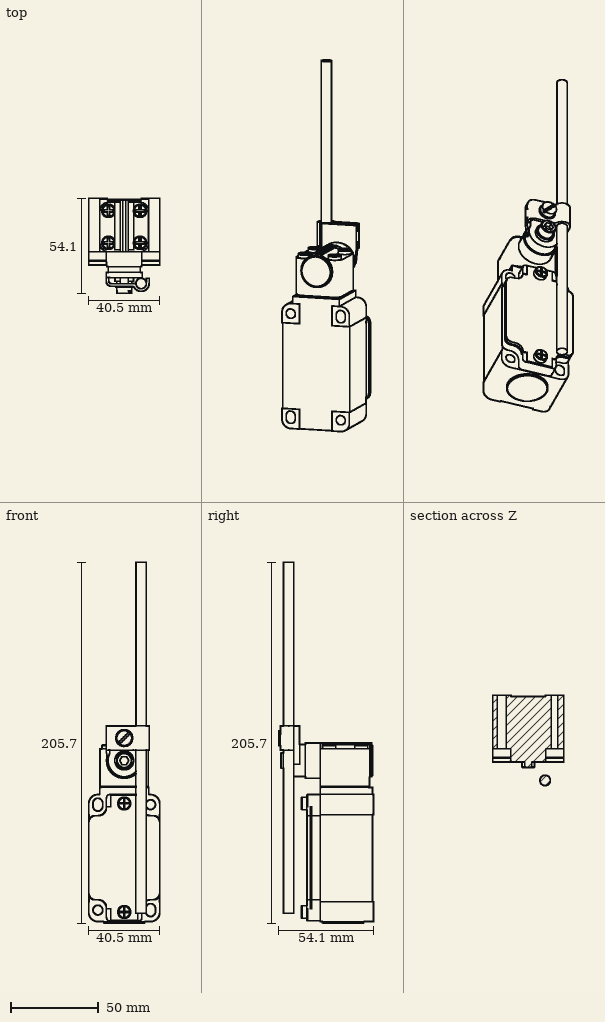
import cadquery as cq
import math


BODY_WIDTH = 40.5
BODY_HEIGHT = 72.4
BODY_FRONT = -30.5
BODY_CORNER_RADIUS = 5.25
PAD_THICKNESS = 0.7
PAD_SIZE = 10.5
PAD_HEIGHT = 11.4
SIDE_RECESS = 0.15

HOLE_SPACING_X = 30.0
HOLE_SPACING_Z = 60.0
HOLE_DIAMETER = 5.4
SLOT_LENGTH = 7.2
SLOT_ANGLE = 90.0
HOLE_MID_Z = 36.6

CONDUIT_RADIUS = 11.8
CONDUIT_HEIGHT = 1.0
CONDUIT_Y = -17.4
CONDUIT_CHAMFER = 0.5

COVER_FRONT = -38.1
COVER_BOTTOM = 0.4
COVER_TAB_HALF_WIDTH = 10.1
COVER_TAB_RADIUS = 2.0
COVER_NOTCH_HEIGHT = 12.0
COVER_NOTCH_RADIUS = 5.0
COVER_EAR_RADIUS = 3.6
COVER_STEP_WIDTH = 2.4
COVER_STEP_HEIGHT = 6.9
COVER_STEP_DEPTH = 0.6
COVER_EDGE_CHAMFER = 0.5
SEAM_Y = -35.7
SEAM_WIDTH = 0.6
SEAM_DEPTH = 0.3
COVER_SCREW_DIAMETER = 7.3
COVER_SCREW_HEIGHT = 3.1
COVER_SCREW_INSET = 5.1

PLATFORM_HALF_WIDTH = 14.0
PLATFORM_TOP = 76.4
HEAD_HALF_WIDTH = 13.8
HEAD_BACK = -2.4
HEAD_TOP = 98.4
HEAD_CORNER_RADIUS = 4.8
NECK_HEIGHT = 0.6
NECK_INSET = 0.5
AXIS_Z = 91.7
BOSS_RADIUS = 10.1
BOSS_FRONT = -38.9
RIDGE_HALF_WIDTH = 5.3
RIDGE_END_GAP = 1.2
RIDGE_TOP = 101.2
RIDGE_ROOT_DEPTH = 2.0
RIB_HALF_WIDTH = 2.2
RIB_TOP = AXIS_Z + BOSS_RADIUS
RIB_GROOVE_WIDTH = 1.6
RIB_GROOVE_DEPTH = 0.6
REAR_CAP_RADIUS = 9.3
REAR_CAP_BACK = -0.6
REAR_CAP_CHAMFER = 0.8
HEAD_SCREW_X = 9.0
HEAD_SCREW_YS = (-7.2, -25.4)
HEAD_SCREW_DIAMETER = 7.5
HEAD_SCREW_HEIGHT = 2.2

CROSS_LENGTH_RATIO = 0.7
COVER_CROSS_WIDTH = 0.6
HEAD_CROSS_WIDTH = 1.5
CROSS_DEPTH = 1.5
CROSS_TAPER = 8.0
SCREW_CHAMFER = 0.4

HUB_RADIUS = 9.2
LEVER_HALF_WIDTH = 10.3
LEVER_BACK = -42.2
LEVER_FRONT = -45.4
LEVER_BOTTOM = 89.6
LEVER_TOP = 111.5
LEVER_TAPER_TOP = 98.0
LEVER_TAPER = 0.9
BRIDGE_BOTTOM = 101.5
BRIDGE_TOP = 107.8
RELIEF_WIDTH = 2.0
RELIEF_DEPTH = 0.4
STRAP_BOTTOM = 97.7
STRAP_FRONT = -50.2
STRAP_THICKNESS = 1.6
STRAP_BEND_RADIUS = 3.0
LOOP_BLEND_RADIUS = 2.0
ROD_DIAMETER = 6.0
ROD_X = 9.65
ROD_Y = -48.5
ROD_BOTTOM = 4.7
ROD_LENGTH = 200.0
LOOP_RADIUS = ROD_DIAMETER / 2 + STRAP_THICKNESS

CLAMP_Z = 104.5
CLAMP_HEAD_DIAMETER = 8.5
CLAMP_COLLAR_DIAMETER = 9.6
CLAMP_COLLAR_THICKNESS = 0.6
CLAMP_SHANK_DIAMETER = 4.8
CLAMP_FRONT = -54.1
CLAMP_SLOT_ANGLE = 45.0
CLAMP_SLOT_WIDTH = 1.2
CLAMP_SLOT_DEPTH = 1.3
WASHER_DIAMETER = 10.7
WASHER_THICKNESS = 2.0
SOCKET_HEAD_DIAMETER = 8.8
SOCKET_FRONT = -53.0
SOCKET_HEX_ACROSS_CORNERS = 5.2
SOCKET_DEPTH = 3.0
HEX_SIDES = 6


def box(x0, x1, y0, y1, z0, z1):
    """Axis-aligned box between opposite corners."""
    size = (abs(x1 - x0), abs(y1 - y0), abs(z1 - z0))
    corner = (min(x0, x1), min(y0, y1), min(z0, z1))
    return cq.Workplane("XY").box(*size, centered=False).translate(corner)


def y_plane(x, y, z):
    """Sketch plane facing the front (-Y), with local axes along X and Z."""
    return cq.Workplane("XZ", origin=(x, y, z))


def y_cylinder(radius, y_back, y_front, x=0.0, z=AXIS_Z):
    """Cylinder along Y."""
    return y_plane(x, y_back, z).circle(radius).extrude(y_back - y_front)


def cross_screw(plane, diameter, height, slot_width):
    """Chamfered screw head with a cross recess, standing on the given plane."""
    outer_face = cq.selectors.DirectionMinMaxSelector(plane.plane.zDir, True)
    head = plane.circle(diameter / 2).extrude(height).faces(outer_face).chamfer(SCREW_CHAMFER)
    arm = diameter * CROSS_LENGTH_RATIO
    recess_plane = plane.workplane(offset=height)
    for length, width in ((arm, slot_width), (slot_width, arm)):
        head = head.cut(recess_plane.rect(length, width).extrude(-CROSS_DEPTH, taper=CROSS_TAPER))
    return head


def make_body():
    body = y_plane(0, 0, BODY_HEIGHT / 2).rect(BODY_WIDTH, BODY_HEIGHT).extrude(-BODY_FRONT)
    body = body.edges("|Y").fillet(BODY_CORNER_RADIUS)
    pad_gap = BODY_WIDTH / 2 - PAD_SIZE
    half_width = BODY_WIDTH / 2
    body = body.cut(box(-pad_gap, pad_gap, -PAD_THICKNESS, 0, 0, BODY_HEIGHT))
    body = body.cut(box(-half_width, half_width, -PAD_THICKNESS, 0, PAD_HEIGHT, BODY_HEIGHT - PAD_HEIGHT))
    for side in (-1, 1):
        recess_floor = half_width - SIDE_RECESS
        body = body.cut(box(
            side * recess_floor, side * half_width, BODY_FRONT, 0, PAD_HEIGHT, BODY_HEIGHT - PAD_HEIGHT
        ))
    conduit = cq.Workplane("XY", origin=(0, CONDUIT_Y, 0)).circle(CONDUIT_RADIUS).extrude(-CONDUIT_HEIGHT)
    return body.union(conduit.faces("<Z").chamfer(CONDUIT_CHAMFER))


def cut_mounting_holes(solid):
    for side_x in (-1, 1):
        for side_z in (-1, 1):
            sketch = y_plane(side_x * HOLE_SPACING_X / 2, 0, HOLE_MID_Z + side_z * HOLE_SPACING_Z / 2)
            if side_x == side_z:
                sketch = sketch.circle(HOLE_DIAMETER / 2)
            else:
                sketch = sketch.slot2D(SLOT_LENGTH, HOLE_DIAMETER, SLOT_ANGLE)
            solid = solid.cut(sketch.extrude(-BODY_FRONT))
    return solid


def cover_corner_cut(side_x, side_z, inset):
    """Volume removed from one cover corner to clear a mounting hole, grown by the inset."""
    outer = BODY_WIDTH / 2 - inset
    inner = COVER_TAB_HALF_WIDTH - inset
    notch_end = COVER_NOTCH_HEIGHT + inset
    bend = COVER_NOTCH_RADIUS + inset
    ear = COVER_EAR_RADIUS - inset
    tab = COVER_TAB_RADIUS
    sagitta = 1 - math.cos(math.pi / 4)
    base_z = BODY_HEIGHT if side_z > 0 else COVER_BOTTOM

    def place(x, depth):
        return (side_x * x, base_z - side_z * depth)

    tab_mid = place(inner - tab * sagitta, tab * sagitta)
    bend_mid = place(inner + bend * sagitta, notch_end - bend * sagitta)
    ear_mid = place(outer - ear * sagitta, notch_end + ear * sagitta)
    outline = (
        y_plane(0, BODY_FRONT, 0)
        .moveTo(*place(inner - tab, 0))
        .threePointArc(tab_mid, place(inner, tab))
        .lineTo(*place(inner, notch_end - bend))
        .threePointArc(bend_mid, place(inner + bend, notch_end))
        .lineTo(*place(outer - ear, notch_end))
        .threePointArc(ear_mid, place(outer, notch_end + ear))
        .lineTo(*place(outer, 0))
        .close()
    )
    return outline.extrude(BODY_FRONT - COVER_FRONT)


def cover_blank(inset=0.0):
    """Plain cover plate with its four corner notches, its side walls moved in by the inset."""
    half_width = BODY_WIDTH / 2 - inset
    blank = box(-half_width, half_width, COVER_FRONT, BODY_FRONT, COVER_BOTTOM, BODY_HEIGHT)
    for side_x in (-1, 1):
        for side_z in (-1, 1):
            blank = blank.cut(cover_corner_cut(side_x, side_z, inset))
    return blank


def make_cover():
    cover = cover_blank().cut(make_seam())
    step_outer = COVER_TAB_HALF_WIDTH
    step_inner = COVER_TAB_HALF_WIDTH - COVER_STEP_WIDTH
    step_back = COVER_FRONT + COVER_STEP_DEPTH
    for side in (-1, 1):
        for edge_z, inner_z in (
            (BODY_HEIGHT, BODY_HEIGHT - COVER_STEP_HEIGHT),
            (COVER_BOTTOM, COVER_BOTTOM + COVER_STEP_HEIGHT),
        ):
            step = box(side * step_outer, side * step_inner, COVER_FRONT, step_back, edge_z, inner_z)
            cover = cover.cut(step)
    front_face = cover.faces("<Y")
    tab_edges = front_face.edges(">Z").add(front_face.edges("<Z"))
    return tab_edges.chamfer(COVER_EDGE_CHAMFER)


def make_seam():
    """Shallow groove around the sides of the cover, leaving its upper and lower tabs whole."""
    half_width = BODY_WIDTH / 2
    tab = COVER_TAB_HALF_WIDTH
    seam_back = SEAM_Y + SEAM_WIDTH / 2
    seam_front = SEAM_Y - SEAM_WIDTH / 2
    band = box(-half_width, half_width, seam_front, seam_back, COVER_BOTTOM, BODY_HEIGHT)
    tabs = box(-tab, tab, seam_front, seam_back, COVER_BOTTOM, BODY_HEIGHT)
    return band.cut(cover_blank(SEAM_DEPTH)).cut(tabs)


def add_cover_screws(solid):
    for z in (BODY_HEIGHT - COVER_SCREW_INSET, COVER_SCREW_INSET + COVER_BOTTOM):
        plane = y_plane(0, COVER_FRONT, z)
        solid = solid.union(cross_screw(plane, COVER_SCREW_DIAMETER, COVER_SCREW_HEIGHT, COVER_CROSS_WIDTH))
    return solid


def make_head():
    platform = box(
        -PLATFORM_HALF_WIDTH, PLATFORM_HALF_WIDTH, BODY_FRONT, -PAD_THICKNESS,
        BODY_HEIGHT - BODY_CORNER_RADIUS, PLATFORM_TOP,
    )
    block_bottom = PLATFORM_TOP + NECK_HEIGHT
    block = box(-HEAD_HALF_WIDTH, HEAD_HALF_WIDTH, BODY_FRONT, HEAD_BACK, block_bottom, HEAD_TOP)
    block = block.edges("|Z").fillet(HEAD_CORNER_RADIUS)
    neck = box(
        NECK_INSET - HEAD_HALF_WIDTH, HEAD_HALF_WIDTH - NECK_INSET,
        BODY_FRONT + NECK_INSET, HEAD_BACK - NECK_INSET, PLATFORM_TOP, block_bottom,
    )
    neck = neck.edges("|Z").fillet(HEAD_CORNER_RADIUS - NECK_INSET)
    boss = y_cylinder(BOSS_RADIUS, BODY_FRONT + HEAD_CORNER_RADIUS, BOSS_FRONT)
    boss_front_part = box(-BOSS_RADIUS, BOSS_RADIUS, BOSS_FRONT, BODY_FRONT, 0, RIB_TOP)
    rear_cap = y_cylinder(REAR_CAP_RADIUS, REAR_CAP_BACK, HEAD_BACK).faces(">Y").chamfer(REAR_CAP_CHAMFER)
    head = platform.union(neck).union(block).union(boss.intersect(boss_front_part))
    return head.union(rear_cap).union(make_ridge())


def make_ridge():
    """Curved ridge along the top of the head with a flat grooved rib in its middle."""
    ridge_back = HEAD_BACK + RIDGE_END_GAP
    ridge_front = BODY_FRONT + RIDGE_END_GAP
    ridge = (
        y_plane(0, ridge_back, HEAD_TOP)
        .moveTo(-RIDGE_HALF_WIDTH, 0)
        .threePointArc((0, RIDGE_TOP - HEAD_TOP), (RIDGE_HALF_WIDTH, 0))
        .lineTo(RIDGE_HALF_WIDTH, -RIDGE_ROOT_DEPTH)
        .lineTo(-RIDGE_HALF_WIDTH, -RIDGE_ROOT_DEPTH)
        .close()
        .extrude(ridge_back - ridge_front)
    )
    rib = box(-RIB_HALF_WIDTH, RIB_HALF_WIDTH, BODY_FRONT, ridge_back, HEAD_TOP, RIB_TOP)
    groove = box(
        -RIB_GROOVE_WIDTH / 2, RIB_GROOVE_WIDTH / 2, BODY_FRONT, ridge_back,
        RIB_TOP - RIB_GROOVE_DEPTH, RIB_TOP,
    )
    return ridge.union(rib).cut(groove)


def add_head_screws(solid):
    for x in (-HEAD_SCREW_X, HEAD_SCREW_X):
        for y in HEAD_SCREW_YS:
            plane = cq.Workplane("XY", origin=(x, y, HEAD_TOP))
            solid = solid.union(cross_screw(plane, HEAD_SCREW_DIAMETER, HEAD_SCREW_HEIGHT, HEAD_CROSS_WIDTH))
    return solid


def make_strap():
    """Bent strap that springs from the lever plate and wraps the rod."""
    strap_height = LEVER_TOP - STRAP_BOTTOM
    outer = box(-LEVER_HALF_WIDTH, ROD_X, STRAP_FRONT, LEVER_FRONT, STRAP_BOTTOM, LEVER_TOP)
    outer = outer.edges("|Z and <X and <Y").fillet(STRAP_BEND_RADIUS)
    inner = box(
        -LEVER_HALF_WIDTH + STRAP_THICKNESS, ROD_X, STRAP_FRONT + STRAP_THICKNESS, LEVER_FRONT,
        STRAP_BOTTOM, LEVER_TOP,
    )
    inner = inner.edges("|Z and <X and <Y").fillet(STRAP_BEND_RADIUS - STRAP_THICKNESS)
    loop_plane = cq.Workplane("XY", origin=(ROD_X, ROD_Y, STRAP_BOTTOM))
    front_half = box(
        ROD_X - LOOP_RADIUS, ROD_X + LOOP_RADIUS, ROD_Y - LOOP_RADIUS, ROD_Y, STRAP_BOTTOM, LEVER_TOP
    )
    loop = loop_plane.circle(LOOP_RADIUS).extrude(strap_height).intersect(front_half)
    lip = box(
        ROD_X + ROD_DIAMETER / 2, ROD_X + LOOP_RADIUS, ROD_Y, ROD_Y + ROD_DIAMETER / 2,
        STRAP_BOTTOM, LEVER_TOP,
    )
    strap = outer.cut(inner).union(loop).union(lip)
    joint_x = ROD_X - math.sqrt(LOOP_RADIUS ** 2 - (STRAP_FRONT - ROD_Y) ** 2)
    joint = cq.selectors.NearestToPointSelector((joint_x, STRAP_FRONT, STRAP_BOTTOM + strap_height / 2))
    return strap.edges("|Z").edges(joint).fillet(LOOP_BLEND_RADIUS)


def make_lever_plate():
    """Clamping plate, tapered at its lower end and relieved beside the bridge to the strap."""
    half_width = LEVER_HALF_WIDTH
    tip_half_width = half_width - LEVER_TAPER
    outline = y_plane(0, LEVER_BACK, 0).polyline([
        (-half_width, LEVER_TOP),
        (half_width, LEVER_TOP),
        (half_width, LEVER_TAPER_TOP),
        (tip_half_width, LEVER_BOTTOM),
        (-tip_half_width, LEVER_BOTTOM),
        (-half_width, LEVER_TAPER_TOP),
    ])
    plate = outline.close().extrude(LEVER_BACK - LEVER_FRONT)
    relief_back = LEVER_FRONT + RELIEF_DEPTH
    relief_inner = RELIEF_WIDTH - half_width
    for z0, z1 in ((LEVER_BOTTOM, BRIDGE_BOTTOM), (BRIDGE_TOP, LEVER_TOP)):
        plate = plate.cut(box(-half_width, relief_inner, LEVER_FRONT, relief_back, z0, z1))
    return plate


def make_lever():
    hub = y_cylinder(HUB_RADIUS, BOSS_FRONT, LEVER_FRONT)
    rod = cq.Workplane("XY", origin=(ROD_X, ROD_Y, ROD_BOTTOM)).circle(ROD_DIAMETER / 2).extrude(ROD_LENGTH)
    return hub.union(make_lever_plate()).union(make_strap()).union(rod)


def make_clamp_screw():
    shank = y_cylinder(CLAMP_SHANK_DIAMETER / 2, LEVER_FRONT, STRAP_FRONT, z=CLAMP_Z)
    head = y_cylinder(CLAMP_HEAD_DIAMETER / 2, STRAP_FRONT, CLAMP_FRONT, z=CLAMP_Z)
    collar_front = STRAP_FRONT - CLAMP_COLLAR_THICKNESS
    collar = y_cylinder(CLAMP_COLLAR_DIAMETER / 2, STRAP_FRONT, collar_front, z=CLAMP_Z)
    slot = (
        y_plane(0, CLAMP_FRONT + CLAMP_SLOT_DEPTH, CLAMP_Z)
        .transformed(rotate=(0, 0, CLAMP_SLOT_ANGLE))
        .rect(CLAMP_HEAD_DIAMETER, CLAMP_SLOT_WIDTH)
        .extrude(CLAMP_SLOT_DEPTH)
    )
    return shank.union(collar).union(head.cut(slot))


def make_socket_screw():
    washer = y_cylinder(WASHER_DIAMETER / 2, LEVER_FRONT, LEVER_FRONT - WASHER_THICKNESS)
    head = y_cylinder(SOCKET_HEAD_DIAMETER / 2, LEVER_FRONT, SOCKET_FRONT)
    head = head.faces("<Y").chamfer(SCREW_CHAMFER)
    socket = y_plane(0, SOCKET_FRONT + SOCKET_DEPTH, AXIS_Z).polygon(HEX_SIDES, SOCKET_HEX_ACROSS_CORNERS)
    return washer.union(head).cut(socket.extrude(SOCKET_DEPTH))


housing = make_body().union(make_head())
housing = cut_mounting_holes(housing).union(make_cover())
housing = add_head_screws(add_cover_screws(housing))
lever = make_lever().union(make_clamp_screw()).union(make_socket_screw())
result = housing.union(lever)